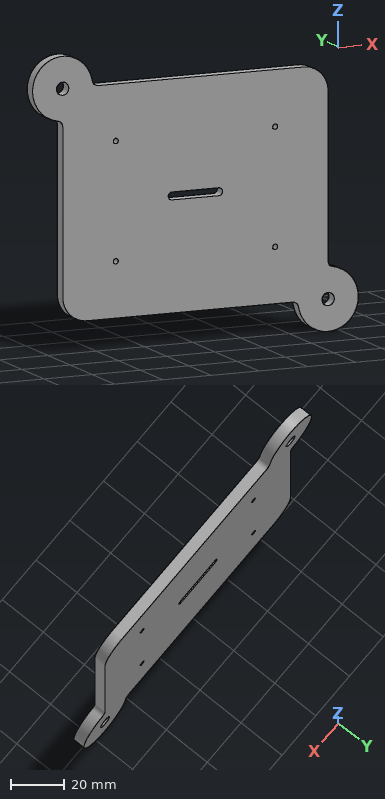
import cadquery as cq

overall_width = 135.0
overall_height = 115.0
thickness = 5.0
lug_diameter = 25.0
lug_hole_diameter = 5.0
corner_radius = 10.0
lug_fillet_radius = 2.4
small_hole_diameter = 2.0
small_hole_spacing_x = 66.0
small_hole_spacing_z = 46.2
slot_length = 22.4
slot_width = 3.0

plate_width = overall_width - lug_diameter
plate_height = overall_height - lug_diameter
lug_centers = [
    (-plate_width / 2, plate_height / 2),
    (plate_width / 2, -plate_height / 2),
]


def front_sketch():
    """Workplane in XZ on the rear face, extruding toward -Y."""
    return cq.Workplane("XZ", origin=(0, thickness / 2, 0))


def plate_body():
    """Rectangular plate with its two free corners rounded."""
    plate = front_sketch().rect(plate_width, plate_height).extrude(thickness)
    for free_corner in (">(1, 0, 1)", "<(1, 0, 1)"):
        plate = plate.edges("|Y").edges(free_corner).fillet(corner_radius)
    return plate


def add_lugs(plate):
    """Round corner lugs, blended into the plate edges."""
    lugs = front_sketch().pushPoints(lug_centers).circle(lug_diameter / 2).extrude(thickness)
    body = plate.union(lugs)

    lug_radius = lug_diameter / 2
    margin = lug_fillet_radius / 2
    for x, z in lug_centers:
        inward_x = -lug_radius if x > 0 else lug_radius
        inward_z = -lug_radius if z > 0 else lug_radius
        for joint_x, joint_z in ((x + inward_x, z), (x, z + inward_z)):
            joint = cq.selectors.BoxSelector(
                (joint_x - margin, -thickness, joint_z - margin),
                (joint_x + margin, thickness, joint_z + margin),
            )
            body = body.edges("|Y").edges(joint).fillet(lug_fillet_radius)
    return body


def through_openings():
    """Lug holes, four small mounting holes and the central slot."""
    lug_holes = front_sketch().pushPoints(lug_centers).circle(lug_hole_diameter / 2).extrude(thickness)
    small_holes = (
        front_sketch()
        .rarray(small_hole_spacing_x, small_hole_spacing_z, 2, 2)
        .circle(small_hole_diameter / 2)
        .extrude(thickness)
    )
    slot = front_sketch().slot2D(slot_length, slot_width).extrude(thickness)
    return lug_holes.union(small_holes).union(slot)


result = add_lugs(plate_body()).cut(through_openings())